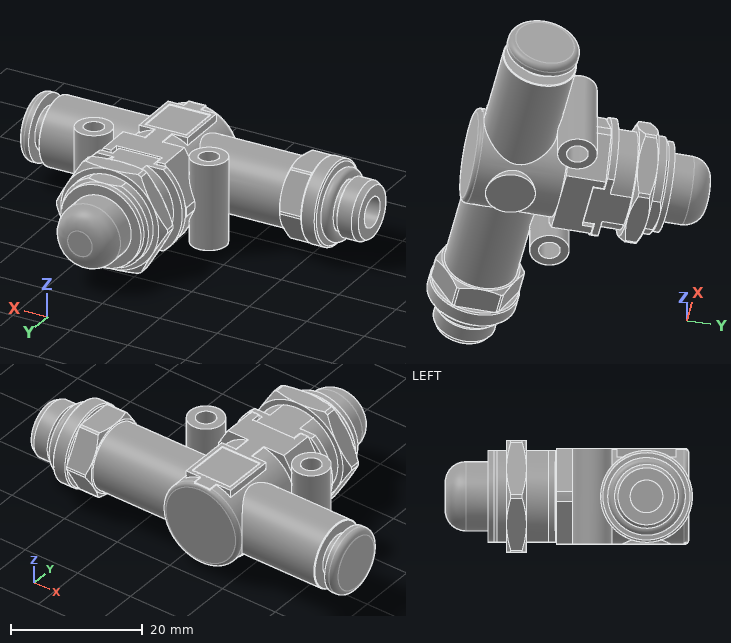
import cadquery as cq
import math


overall_length = 58.5
overall_depth = 37.6

tube_dia = 11.4
tube_half_length = 21.05
tube_end_chamfer = 0.1
body_height = 14.6
half_height = body_height / 2
tee_front_y = -6.45
tee_end_fillet = 0.7
block_start_y = 7.55
block_end_y = 13.7
block_across_flats = 16.55
block_corner_dia = 18.3

lug_dia = 6.0
lug_hole_dia = 3.3
lug_x = 10.0
lug_y = 8.25

label_width = 8.4
label_length = 9.0
label_recess_width = 7.15
label_recess_length = 7.6
label_recess_depth = 0.2
label_stem_width = 3.0
boss_dia = 7.6

sleeve_neck_dia = 7.2
sleeve_flange_dia = 11.1
sleeve_flange_x = 22.9
sleeve_end_x = 24.7
sleeve_fillet = 1.0

stud_face_x = sleeve_end_x - overall_length
stud_length = -tube_half_length - stud_face_x
thread_dia = 9.7
thread_length = 3.45
thread_chamfer = (0.95, 0.5)
thread_runout = 0.3
groove_dia = 8.2
ring_dia = 11.8
ring_section = 1.9
flange_dia = 14.0
flange_back_x = -25.15
flange_width = 2.65
flange_front_chamfer = (0.2, 0.35)
flange_back_chamfer = 0.25
stud_hex_flats = 12.15
stud_hex_corner_dia = 13.8
stud_hex_chamfer = 0.5
bore_dia = 5.0

key_width = 7.15
key_clearance = 0.4
key_bottom_y = 12.05
key_thickness = 1.75
collar_gap = 0.2
collar_dia = 18.15
collar_top_y = 14.9
barrel_dia = 15.1
barrel_top_y = 22.75
rim_dia = 14.0
rim_start_y = 23.15
rim_top_y = 24.1
flats_width = 14.0
button_dia = 10.6
button_top_y = overall_depth - flange_dia / 2
button_round = 3.15

nut_flats = 17.0
nut_corner_dia = 19.3
nut_start_y = 18.25
nut_width = 3.05
nut_chamfer = 0.65


def turned_x(profile):
    """Solid of revolution about X from (x, radius) points."""
    return cq.Workplane("XY").polyline(profile).close().revolve(360, (0, 0), (1, 0))


def turned_y(profile):
    """Solid of revolution about Y from (radius, y) points."""
    return cq.Workplane("XY").polyline(profile).close().revolve(360, (0, 0), (0, 1))


def cylinder_y(diameter, start_y, end_y):
    return cq.Workplane("XZ", origin=(0, end_y, 0)).circle(diameter / 2).extrude(end_y - start_y)


def hex_corners(across_flats):
    """Distance across the corners of a hexagon."""
    return across_flats / math.cos(math.radians(30))


def hex_prism_y(across_flats, start_y, end_y):
    """Hexagonal prism along Y with two flats facing +Z and -Z."""
    base = cq.Workplane("XZ", origin=(0, end_y, 0))
    return base.polygon(6, hex_corners(across_flats)).extrude(end_y - start_y)


def block(width_x, start_y, end_y, start_z, end_z):
    """Box centred on X = 0."""
    size = (width_x, end_y - start_y, end_z - start_z)
    return cq.Workplane("XY", origin=(0, start_y, start_z)).box(*size, centered=(True, False, False))


def key_blocks(width, start_y, end_y, outer_z):
    """Pair of key shapes on the +Z and -Z sides, both starting at the same inner depth."""
    inner_z = flats_width / 2 - key_thickness
    upper = block(width, start_y, end_y, inner_z, outer_z)
    return upper.union(upper.mirror("XY"))


def make_flow_tube():
    length = 2 * tube_half_length
    tube = cq.Workplane("YZ", origin=(-tube_half_length, 0, 0)).circle(tube_dia / 2).extrude(length)
    return tube.faces(">X").chamfer(tube_end_chamfer)


def make_tee_boss():
    boss = cylinder_y(body_height, tee_front_y, block_start_y)
    return boss.faces("<Y").edges().fillet(tee_end_fillet)


def make_hex_block():
    prism = hex_prism_y(block_across_flats, block_start_y, block_end_y)
    prism = prism.intersect(cylinder_y(block_corner_dia, block_start_y, block_end_y))
    slab = block(block_corner_dia, block_start_y, block_end_y, -half_height, half_height)
    return prism.intersect(slab)


def make_lug(x):
    lug = cq.Workplane("XY", origin=(x, lug_y, -half_height))
    return lug.circle(lug_dia / 2).extrude(body_height)


def make_label_pad():
    """Rectangular pad and its narrow stem, flush with the top of the hex block."""
    pad = block(label_width, -label_length / 2, label_length / 2, 0, half_height)
    stem = block(label_stem_width, tee_front_y + tee_end_fillet / 2, block_start_y, 0, half_height)
    return pad.union(stem)


def make_label_recess():
    half_length = label_recess_length / 2
    return block(label_recess_width, -half_length, half_length, half_height - label_recess_depth, half_height)


def make_release_sleeve():
    neck_length = sleeve_flange_x - tube_half_length
    neck = cq.Workplane("YZ", origin=(tube_half_length, 0, 0)).circle(sleeve_neck_dia / 2).extrude(neck_length)
    flange = cq.Workplane("YZ", origin=(sleeve_flange_x, 0, 0)).circle(sleeve_flange_dia / 2)
    flange = flange.extrude(sleeve_end_x - sleeve_flange_x).faces(">X").edges().fillet(sleeve_fillet)
    return neck.union(flange)


def make_housing():
    body = make_flow_tube().union(make_tee_boss()).union(make_hex_block())
    for x in (-lug_x, lug_x):
        body = body.union(make_lug(x))
    body = body.union(make_label_pad()).cut(make_label_recess())
    bottom_boss = cq.Workplane("XY", origin=(0, 0, -half_height)).circle(boss_dia / 2).extrude(half_height)
    body = body.union(bottom_boss).union(make_release_sleeve())
    slot_width = key_width + 2 * key_clearance
    body = body.cut(key_blocks(slot_width, key_bottom_y, block_end_y, half_height))
    lug_holes = cq.Workplane("XY", origin=(0, 0, -half_height))
    lug_holes = lug_holes.pushPoints([(-lug_x, lug_y), (lug_x, lug_y)]).circle(lug_hole_dia / 2)
    return body.cut(lug_holes.extrude(body_height))


def make_stud_hex():
    """Hexagon with its corners turned down and chamfered towards the housing."""
    length = -tube_half_length - flange_back_x
    prism = cq.Workplane("YZ", origin=(flange_back_x, 0, 0))
    prism = prism.polygon(6, hex_corners(stud_hex_flats)).extrude(length)
    envelope = turned_x([
        (flange_back_x, 0),
        (flange_back_x, stud_hex_corner_dia / 2),
        (-tube_half_length - stud_hex_chamfer, stud_hex_corner_dia / 2),
        (-tube_half_length, stud_hex_flats / 2),
        (-tube_half_length, 0),
    ])
    return prism.intersect(envelope)


def make_stud():
    chamfer_length, chamfer_depth = thread_chamfer
    front_length, front_depth = flange_front_chamfer
    thread_end_x = stud_face_x + thread_length
    flange_front_x = flange_back_x - flange_width
    stud = turned_x([
        (stud_face_x, 0),
        (stud_face_x, thread_dia / 2 - chamfer_depth),
        (stud_face_x + chamfer_length, thread_dia / 2),
        (thread_end_x, thread_dia / 2),
        (thread_end_x + thread_runout, groove_dia / 2),
        (flange_front_x, groove_dia / 2),
        (flange_front_x, flange_dia / 2 - front_depth),
        (flange_front_x + front_length, flange_dia / 2),
        (flange_back_x - flange_back_chamfer, flange_dia / 2),
        (flange_back_x, flange_dia / 2 - flange_back_chamfer),
        (flange_back_x, 0),
    ])
    ring_radius = (ring_dia - ring_section) / 2
    ring = cq.Workplane("XY").center(flange_front_x - ring_section / 2, ring_radius).circle(ring_section / 2)
    ring = ring.revolve(360, (0, -ring_radius), (1, -ring_radius))
    bore = cq.Workplane("YZ", origin=(stud_face_x, 0, 0)).circle(bore_dia / 2).extrude(stud_length)
    return stud.union(ring).union(make_stud_hex()).cut(bore)


def make_cartridge():
    collar_bottom_y = block_end_y + collar_gap
    barrel = turned_y([
        (0, collar_bottom_y),
        (collar_dia / 2, collar_bottom_y),
        (collar_dia / 2, collar_top_y),
        (barrel_dia / 2, collar_top_y),
        (barrel_dia / 2, barrel_top_y),
        (rim_dia / 2, rim_start_y),
        (rim_dia / 2, rim_top_y),
        (0, rim_top_y),
    ])
    half_flats = flats_width / 2
    barrel = barrel.intersect(block(collar_dia, collar_bottom_y, rim_top_y, -half_flats, half_flats))
    keys = key_blocks(key_width, key_bottom_y, collar_top_y, half_flats)
    button = cylinder_y(button_dia, rim_top_y, button_top_y).faces(">Y").edges().fillet(button_round)
    return barrel.union(keys).union(button)


def make_nut():
    nut_end_y = nut_start_y + nut_width
    prism = hex_prism_y(nut_flats, nut_start_y, nut_end_y)
    envelope = turned_y([
        (0, nut_start_y),
        (nut_flats / 2, nut_start_y),
        (nut_corner_dia / 2, nut_start_y + nut_chamfer),
        (nut_corner_dia / 2, nut_end_y - nut_chamfer),
        (nut_flats / 2, nut_end_y),
        (0, nut_end_y),
    ])
    return prism.intersect(envelope).cut(cylinder_y(barrel_dia, nut_start_y, nut_end_y))


housing = make_housing()
stud = make_stud()
cartridge = make_cartridge()
nut = make_nut()

result = cq.Compound.makeCompound([
    housing.solids().val(),
    stud.solids().val(),
    cartridge.solids().val(),
    nut.solids().val(),
])